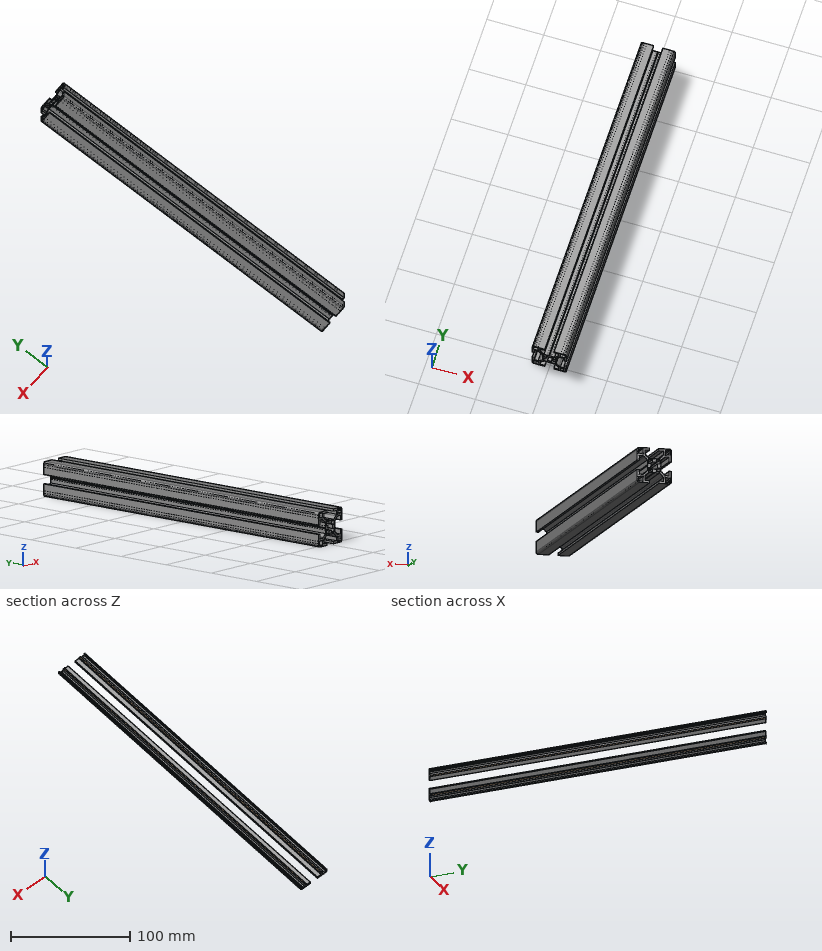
import cadquery as cq
import math

SIDE = 30.0
LENGTH = 304.8
CORNER_RADIUS = 2.0

SLOT_OPENING = 8.0
LIP_THICKNESS = 2.0
SLOT_INNER_WIDTH = 16.0
SLOT_SHOULDER = 9.8

CORE_SIDE = 12.0
WEB_THICKNESS = 2.0
WEB_END = 7.9
GROOVE_WIDTH = 0.8
GROOVE_DEPTH = 0.3

CORE_WALL = 1.0
RIB_WIDTH = 3.5
RIB_GAP = 6.0

SKIN = 1.0
CAVITY_INNER = 9.4
CAVITY_OUTER = 13.7
CAVITY_KNEE = (9.7, 11.1)
CAVITY_TIP_START = 10.05
CAVITY_TIP_END = 12.1
CAVITY_NOTCH = 11.8

HALF_SIDE = SIDE / 2
HALF_CORE = CORE_SIDE / 2
QUARTERS = range(4)


def turned(point, quarter):
    """Turn an (x, z) point clockwise about the axis by a number of quarter turns."""
    x, z = point
    for _ in range(quarter):
        x, z = z, -x
    return x, z


def mirrored(points):
    """Reflect points across the X = Z diagonal, in reverse order."""
    return [(z, x) for x, z in reversed(points)]


def prism(wire):
    """Extrude a closed outline over the full length, centred on Y."""
    return wire.extrude(LENGTH / 2, both=True)


def body():
    """Solid section: core, webs, slots and rounded corners."""
    web_shift = WEB_THICKNESS / math.sqrt(2)
    lip_inner = HALF_SIDE - LIP_THICKNESS
    arc_centre = HALF_SIDE - CORNER_RADIUS
    arc_middle = arc_centre + CORNER_RADIUS / math.sqrt(2)
    half = [
        (GROOVE_WIDTH / 2, HALF_CORE),
        (HALF_CORE - web_shift, HALF_CORE),
        (WEB_END - web_shift / 2, WEB_END + web_shift / 2),
        (SLOT_INNER_WIDTH / 2, SLOT_SHOULDER),
        (SLOT_INNER_WIDTH / 2, lip_inner),
        (SLOT_OPENING / 2, lip_inner),
        (SLOT_OPENING / 2, HALF_SIDE),
        (arc_centre, HALF_SIDE),
    ]
    groove_bottom = (0, HALF_CORE - GROOVE_DEPTH)
    outline = cq.Workplane("XZ").moveTo(*groove_bottom)
    for quarter in QUARTERS:
        for point in half:
            outline = outline.lineTo(*turned(point, quarter))
        far_half = [turned(point, quarter) for point in mirrored(half)]
        outline = outline.threePointArc(turned((arc_middle, arc_middle), quarter), far_half[0])
        for point in far_half[1:]:
            outline = outline.lineTo(*point)
        if quarter != QUARTERS[-1]:
            outline = outline.lineTo(*turned(groove_bottom, quarter + 1))
    return prism(outline.close())


def bore():
    """Square hole through the core, leaving a rib on each wall."""
    hole_side = CORE_SIDE - 2 * CORE_WALL
    hole = prism(cq.Workplane("XZ").rect(hole_side, hole_side))
    rib_height = (hole_side - RIB_GAP) / 2
    rib_offset = (RIB_GAP + rib_height) / 2
    for quarter in QUARTERS:
        width, height = (RIB_WIDTH, rib_height) if quarter % 2 == 0 else (rib_height, RIB_WIDTH)
        rib_centre = turned((0, rib_offset), quarter)
        hole = hole.cut(prism(cq.Workplane("XZ").center(*rib_centre).rect(width, height)))
    return hole


def corner_cavity(quarter):
    """Hollow inside one corner, symmetric about the diagonal."""
    tip = HALF_SIDE - SKIN
    flank = [
        CAVITY_KNEE,
        (CAVITY_TIP_START, tip),
        (CAVITY_TIP_END, tip),
        (CAVITY_NOTCH, CAVITY_OUTER),
    ]
    points = [(CAVITY_INNER, CAVITY_INNER)] + flank + [(CAVITY_OUTER, CAVITY_OUTER)] + mirrored(flank)
    return prism(cq.Workplane("XZ").polyline([turned(point, quarter) for point in points]).close())


result = body().cut(bore())
for corner in QUARTERS:
    result = result.cut(corner_cavity(corner))